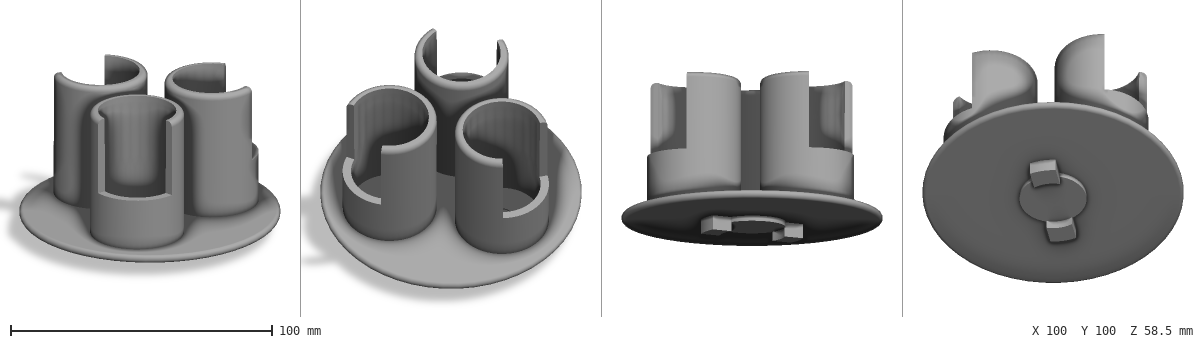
import cadquery as cq
import math

plate_radius = 50.0
plate_thickness = 3.0

cup_placements = [
    (0.0, 25.0, 91.6),
    (-21.8, -12.4, 206.4),
    (21.6, -12.7, 336.5),
]
cup_radius = 18.0
cup_height = 50.0
cup_rim_round = 2.0
bore_radius_bottom = 14.8
bore_radius_top = 15.0
cup_floor_thickness = 2.0
floor_recess_radius = 4.0
floor_recess_depth = 0.5

opening_bottom = 20.0
opening_angle = 103.4

boss_radius = 12.8
boss_depth = 2.0
tab_inner_radius = 12.5
tab_outer_radius = 20.0
tab_width = 10.0
tab_depth = 5.5

cup_floor_z = plate_thickness + cup_floor_thickness
ledge_z = plate_thickness + opening_bottom
rim_z = plate_thickness + cup_height


def make_plate():
    """Disc with a fully rounded rim."""
    edge_radius = plate_thickness / 2
    flat_radius = plate_radius - edge_radius
    profile = (
        cq.Workplane("XZ")
        .lineTo(flat_radius, 0)
        .threePointArc((plate_radius, edge_radius), (flat_radius, plate_thickness))
        .lineTo(0, plate_thickness)
        .close()
    )
    return profile.revolve(360, (0, 0), (0, 1))


def make_cup_body():
    """Solid cup standing on the plate, centred on the Z axis."""
    body = cq.Workplane("XY").workplane(offset=plate_thickness)
    body = body.circle(cup_radius).extrude(cup_height)
    return body.faces(">Z").edges().fillet(cup_rim_round)


def make_cup_bore():
    """Straight bore up to the ledge, then slightly flared up to the rim."""
    profile = [
        (0, cup_floor_z),
        (bore_radius_bottom, cup_floor_z),
        (bore_radius_bottom, ledge_z),
        (bore_radius_top, rim_z),
        (0, rim_z),
    ]
    return cq.Workplane("XZ").polyline(profile).close().revolve(360, (0, 0), (0, 1))


def make_cup_opening():
    """Wedge with its tip on the cup axis, widening toward +X."""
    reach = 2 * cup_radius
    half_width = reach * math.tan(math.radians(opening_angle / 2))
    wedge = cq.Workplane("XY").workplane(offset=ledge_z)
    wedge = wedge.polyline([(0, 0), (reach, -half_width), (reach, half_width)]).close()
    return wedge.extrude(cup_height)


def make_floor_recess():
    """Shallow round recess in the middle of the cup floor."""
    recess = cq.Workplane("XY").workplane(offset=cup_floor_z)
    return recess.circle(floor_recess_radius).extrude(-floor_recess_depth)


def place_cup(shape, placement):
    """Turn a shape's +X side to the opening direction and move it to the cup axis."""
    axis_x, axis_y, opening_direction = placement
    return shape.rotate((0, 0, 0), (0, 0, 1), opening_direction).translate((axis_x, axis_y, 0))


def make_boss():
    return cq.Workplane("XY").circle(boss_radius).extrude(-boss_depth)


def make_tabs():
    """Two opposite ring segments on the Y axis."""
    ring = cq.Workplane("XY").circle(tab_outer_radius).circle(tab_inner_radius).extrude(-tab_depth)
    strip = cq.Workplane("XY").rect(tab_width, 2 * tab_outer_radius).extrude(-tab_depth)
    return ring.intersect(strip)


cup_body = make_cup_body()
cup_cutter = make_cup_bore().union(make_cup_opening()).union(make_floor_recess())

result = make_plate().union(make_boss()).union(make_tabs())
for cup_placement in cup_placements:
    result = result.union(place_cup(cup_body, cup_placement))
for cup_placement in cup_placements:
    result = result.cut(place_cup(cup_cutter, cup_placement))